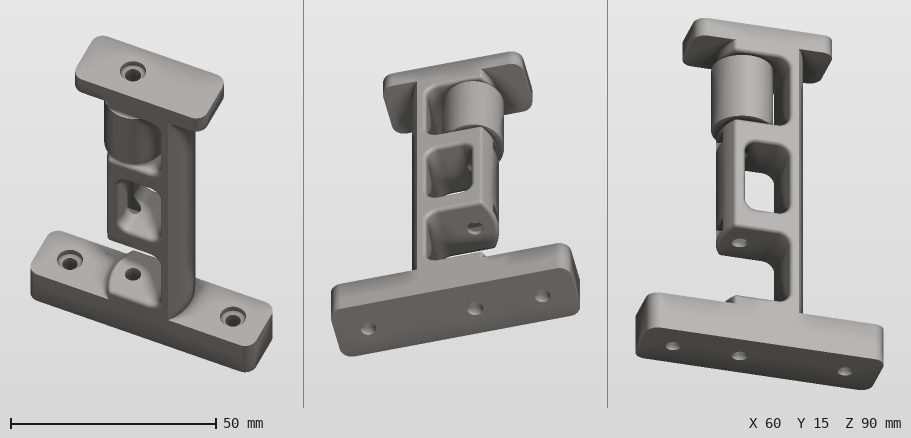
import cadquery as cq
import math

width = 15.0
total_height = 90.0
corner_radius = 3.0

base_length = 60.0
base_height = 10.0
base_hole_offset = 21.8

plate_length = 35.0
plate_height = base_height / 2
plate_center_x = -0.5

column_length = 21.1
front_bow_radius = 13.5
back_bow_radius = 11.9
edge_radius = 1.0

opening_length = 11.25
opening_height = 19.3
opening_corner_radius = 3.1

screw_x = -4.95
screw_diameter = 4.0
base_hole_diameter = 3.8
counterbore_diameter = 6.4
counterbore_depth = 1.5
slot_width = 6.3
slot_height = 3.3

roller_x = -4.4
roller_diameter = width
roller_gap = 1.0
roller_height = opening_height - 2 * roller_gap
roller_bore = 3.8

column_bottom = base_height
column_top = total_height - plate_height
column_height = column_top - column_bottom
column_end = column_length / 2
opening_half_length = opening_length / 2
opening_pitch = column_height / 3
middle_z = (column_bottom + column_top) / 2
lower_z = middle_z - opening_pitch
upper_z = middle_z + opening_pitch
slot_end_x = screw_x + slot_width / 2


def rounded_plate(length, height, center_x, bottom):
    """Flat plate with rounded vertical corners."""
    return (
        cq.Workplane("XY", origin=(center_x, 0, bottom))
        .rect(length, width)
        .extrude(height)
        .edges("|Z")
        .fillet(corner_radius)
    )


def bow_side_x(radius):
    """Distance from the column axis to where an end bow of this radius meets the sides."""
    return column_end - radius + math.sqrt(radius**2 - (width / 2) ** 2)


def plain_column():
    """Upright bar whose two end faces bow outwards, with rounded edges at the -X end."""
    front_x = -bow_side_x(front_bow_radius)
    back_x = bow_side_x(back_bow_radius)
    return (
        cq.Workplane("XY", origin=(0, 0, column_bottom))
        .moveTo(front_x, -width / 2)
        .lineTo(back_x, -width / 2)
        .threePointArc((column_end, 0), (back_x, width / 2))
        .lineTo(front_x, width / 2)
        .threePointArc((-column_end, 0), (front_x, -width / 2))
        .close()
        .extrude(column_height)
        .edges("|Z")
        .edges("<X")
        .fillet(edge_radius)
    )


def opening_cutter(center_z, left, rounded_edges):
    """Prism along Y that clears one opening from `left` to the back wall."""
    length = opening_half_length - left
    return (
        cq.Workplane("XY")
        .box(length, 2 * width, opening_height)
        .edges(rounded_edges)
        .fillet(opening_corner_radius)
        .translate((left + length / 2, 0, center_z))
    )


def rim_box(center_z):
    """Selector for the edges around one opening."""
    reach = opening_height / 2 + edge_radius / 2
    return cq.selectors.BoxSelector(
        (-width, -width, center_z - reach),
        (opening_half_length + edge_radius / 2, width, center_z + reach),
    )


def make_column():
    """Bar with two open roller bays, the window between them and rounded rims."""
    bar = plain_column()
    for center_z in (lower_z, upper_z):
        bar = bar.cut(opening_cutter(center_z, -width, "|Y and >X"))
    bar = bar.cut(opening_cutter(middle_z, -opening_half_length, "|Y"))
    for center_z in (lower_z, upper_z):
        bar = bar.edges(rim_box(center_z)).edges("not(|Y)").fillet(edge_radius)
    return bar.faces("<Y or >Y").edges(rim_box(middle_z)).edges("not(|Y)").fillet(edge_radius)


def vertical_hole(x, diameter, top):
    """Through hole down to the base underside, counterbored at `top`."""
    hole = cq.Workplane("XY", origin=(x, 0, 0)).circle(diameter / 2).extrude(top)
    recess = (
        cq.Workplane("XY", origin=(x, 0, top - counterbore_depth))
        .circle(counterbore_diameter / 2)
        .extrude(counterbore_depth)
    )
    return hole.union(recess)


def nut_slot(center_z):
    """Flat slot entering from the bowed -X face."""
    length = slot_end_x + width
    return cq.Workplane("XY").box(length, slot_width, slot_height).translate(
        (slot_end_x - length / 2, 0, center_z)
    )


def make_frame():
    """Base, column and top plate in one piece, with screw holes and nut slots."""
    frame = make_column()
    frame = frame.union(rounded_plate(base_length, base_height, 0, 0))
    frame = frame.union(rounded_plate(plate_length, plate_height, plate_center_x, column_top))
    for x in (-base_hole_offset, base_hole_offset):
        frame = frame.cut(vertical_hole(x, base_hole_diameter, base_height))
    frame = frame.cut(vertical_hole(screw_x, screw_diameter, total_height))
    for side in (-1, 1):
        frame = frame.cut(nut_slot(middle_z + side * opening_pitch / 2))
    return frame


def make_roller():
    """Bored cylinder standing free in the upper bay."""
    return (
        cq.Workplane("XY", origin=(roller_x, 0, upper_z - roller_height / 2))
        .circle(roller_diameter / 2)
        .circle(roller_bore / 2)
        .extrude(roller_height)
    )


frame = make_frame()
roller = make_roller()
result = cq.Compound.makeCompound([frame.val(), roller.val()])